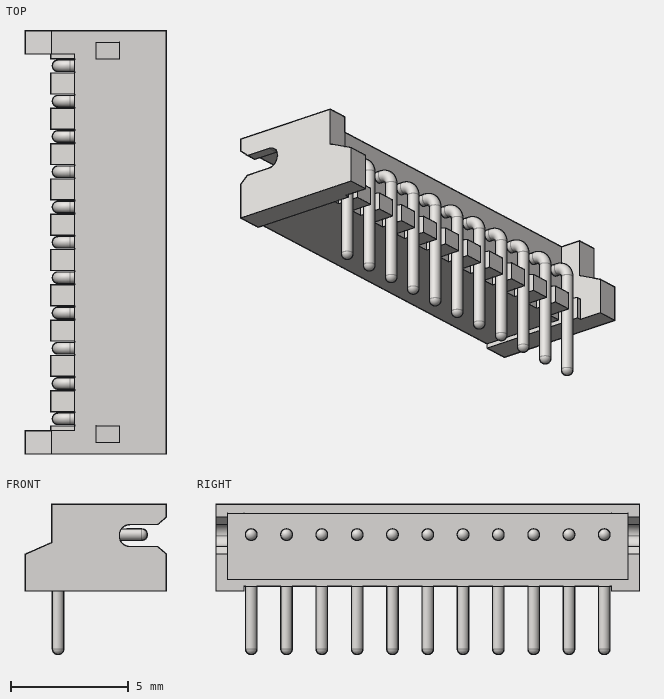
import cadquery as cq
import math


PIN_COUNT = 11
PITCH = 1.5
PIN_DIAMETER = 0.5
PIN_RADIUS = PIN_DIAMETER / 2
PIN_TAIL_X = 1.4
PIN_AXIS_Z = 2.4
BEND_RADIUS = 0.5
PIN_FRONT_X = 5.2
PIN_BOTTOM_Z = -2.7
pin_positions = [(i - (PIN_COUNT - 1) / 2) * PITCH for i in range(PIN_COUNT)]

DEPTH = 6.0
HEIGHT = 3.7
END_MARGIN = 1.5
LENGTH = (PIN_COUNT - 1) * PITCH + 2 * END_MARGIN
END_WALL = 1.0

FOOT_STEP_X = 1.13
FOOT_TOP_REAR_Z = 1.57
FOOT_TOP_FRONT_Z = 2.07
REAR_WALL_X = 2.1

RIB_REAR_X = 1.08
RIB_REAR_TOP_Z = 0.95
RIB_FRONT_TOP_Z = 1.17
COMB_SLOT_WIDTH = 0.6
STANDOFF = 0.2

TOP_WALL = 0.4
FLOOR_Z = 0.5
SIDE_WALL = 0.5
CAVITY_REAR_X = 3.0

WINDOW_DEPTH = 1.0
WINDOW_WIDTH = 0.7

SLOT_REAR_X = 4.0
SLOT_BOTTOM_Z = 1.9
SLOT_TOP_Z = 2.82
SLOT_CORNER_RADIUS = 0.45
SLOT_MOUTH_LENGTH = 0.37
SLOT_MOUTH_RISE = 0.32


def block(x_range, y_range, z_range):
    """Axis-aligned box between the given limits."""
    size = [high - low for low, high in (x_range, y_range, z_range)]
    corner = (x_range[0], y_range[0], z_range[0])
    return cq.Workplane("XY").box(*size, centered=False).translate(corner)


def extrude_along_y(sketch, width):
    """Extrude an XZ outline to a width centred on Y = 0."""
    return sketch.extrude(width / 2, both=True)


def make_outer_body():
    """Side profile over the full length, cut back between the two feet."""
    profile = (
        cq.Workplane("XZ")
        .polyline([
            (0, 0),
            (DEPTH, 0),
            (DEPTH, HEIGHT),
            (FOOT_STEP_X, HEIGHT),
            (FOOT_STEP_X, FOOT_TOP_FRONT_Z),
            (0, FOOT_TOP_REAR_Z),
        ])
        .close()
    )
    inner_half = LENGTH / 2 - END_WALL
    rear_gap = block((0, REAR_WALL_X), (-inner_half, inner_half), (0, HEIGHT))
    return extrude_along_y(profile, LENGTH).cut(rear_gap)


def make_comb():
    """Sloped-top bar behind the rear wall, from foot to foot."""
    profile = (
        cq.Workplane("XZ")
        .polyline([
            (RIB_REAR_X, 0),
            (REAR_WALL_X, 0),
            (REAR_WALL_X, RIB_FRONT_TOP_Z),
            (RIB_REAR_X, RIB_REAR_TOP_Z),
        ])
        .close()
    )
    comb = extrude_along_y(profile, LENGTH - 2 * END_WALL)
    for y in pin_positions:
        gap = (y - COMB_SLOT_WIDTH / 2, y + COMB_SLOT_WIDTH / 2)
        comb = comb.cut(block((0, REAR_WALL_X), gap, (0, HEIGHT)))
    return comb


def make_standoff_recess():
    """Shallow channel under the housing that leaves a standing strip at each end."""
    half = pin_positions[-1] + COMB_SLOT_WIDTH / 2
    return block((0, DEPTH), (-half, half), (0, STANDOFF))


def make_cavity():
    """Mating cavity inside the top, bottom and end walls."""
    half = LENGTH / 2 - SIDE_WALL
    return block((CAVITY_REAR_X, DEPTH), (-half, half), (FLOOR_Z, HEIGHT - TOP_WALL))


def make_windows():
    """Two rectangular openings through the top wall, against the end walls."""
    outer = LENGTH / 2 - SIDE_WALL
    inner = outer - WINDOW_WIDTH
    x_range = (CAVITY_REAR_X, CAVITY_REAR_X + WINDOW_DEPTH)
    z_range = (HEIGHT - TOP_WALL, HEIGHT)
    return block(x_range, (inner, outer), z_range).union(block(x_range, (-outer, -inner), z_range))


def make_keying_slot():
    """Slot through both end walls with rounded rear corners and a flared mouth."""
    mouth_x = DEPTH - SLOT_MOUTH_LENGTH
    arc_x = SLOT_REAR_X + SLOT_CORNER_RADIUS
    profile = (
        cq.Workplane("XZ")
        .moveTo(arc_x, SLOT_BOTTOM_Z)
        .lineTo(mouth_x, SLOT_BOTTOM_Z)
        .lineTo(DEPTH, SLOT_BOTTOM_Z - SLOT_MOUTH_RISE)
        .lineTo(DEPTH, SLOT_TOP_Z + SLOT_MOUTH_RISE)
        .lineTo(mouth_x, SLOT_TOP_Z)
        .lineTo(arc_x, SLOT_TOP_Z)
        .radiusArc((SLOT_REAR_X, SLOT_TOP_Z - SLOT_CORNER_RADIUS), -SLOT_CORNER_RADIUS)
        .lineTo(SLOT_REAR_X, SLOT_BOTTOM_Z + SLOT_CORNER_RADIUS)
        .radiusArc((arc_x, SLOT_BOTTOM_Z), -SLOT_CORNER_RADIUS)
        .close()
    )
    return extrude_along_y(profile, LENGTH)


def make_pin():
    """Round pin in the Y = 0 plane: vertical tail, quarter bend, horizontal contact, domed ends."""
    tail_end_z = PIN_BOTTOM_Z + PIN_RADIUS
    contact_end_x = PIN_FRONT_X - PIN_RADIUS
    bend_offset = BEND_RADIUS * (1 - math.cos(math.pi / 4))
    path = (
        cq.Workplane("XZ")
        .moveTo(PIN_TAIL_X, tail_end_z)
        .lineTo(PIN_TAIL_X, PIN_AXIS_Z - BEND_RADIUS)
        .threePointArc(
            (PIN_TAIL_X + bend_offset, PIN_AXIS_Z - bend_offset),
            (PIN_TAIL_X + BEND_RADIUS, PIN_AXIS_Z),
        )
        .lineTo(contact_end_x, PIN_AXIS_Z)
    )
    pin = cq.Workplane("XY", origin=(PIN_TAIL_X, 0, tail_end_z)).circle(PIN_RADIUS).sweep(path)
    dome = cq.Workplane("XY").sphere(PIN_RADIUS)
    pin = pin.union(dome.translate((PIN_TAIL_X, 0, tail_end_z)))
    return pin.union(dome.translate((contact_end_x, 0, PIN_AXIS_Z)))


housing = (
    make_outer_body()
    .union(make_comb())
    .cut(make_standoff_recess())
    .cut(make_cavity())
    .cut(make_windows())
    .cut(make_keying_slot())
)

pin = make_pin()
result = housing
for y in pin_positions:
    result = result.union(pin.translate((0, y, 0)))